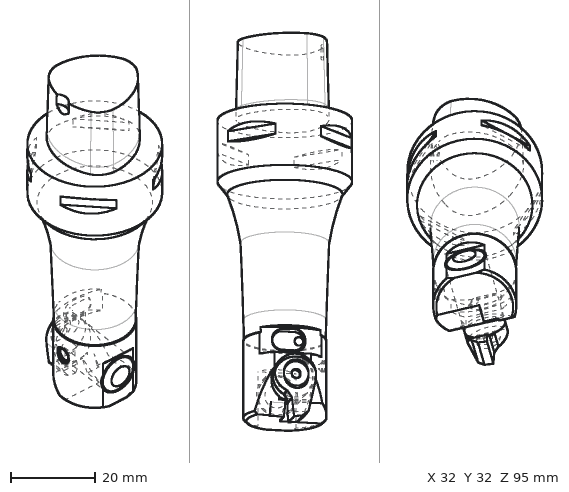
import cadquery as cq
import math

TOP_Z = 95.0
SHANK_STRAIGHT_Z = 78.5
FLANGE_TOP_Z = 76.1
FLANGE_BOTTOM_Z = 61.1
FLANGE_BEVEL_Z = 58.0
FLARE_MID_Z = 52.1
NECK_TOP_Z = 46.1
COLLAR_TOP_Z = 27.2
HEAD_TOP_Z = 22.3
HEAD_BOTTOM_Z = 2.5
SLIDE_Z = 10.9

FLANGE_R = 32.0 / 2
BEVEL_R = 13.7
FLARE_MID_R = 11.8
NECK_TOP_R = 10.5
COLLAR_TOP_R = 9.9
COLLAR_BOTTOM_R = 19.5 / 2
HEAD_R = 9.9
HEAD_TOP_CHAMFER = 0.2
HEAD_BOTTOM_CHAMFER = 0.8

SHANK_MEAN_R = 11.0
SHANK_LOBE = 0.7
SHANK_TAPER = 0.05
LOBE_HALF_ANGLE = 16.5
KEYWAY_DIAMETER = 6.0
KEYWAY_Y = -11.8
KEYWAY_DEPTH = 3.0

GROOVE_Z = 70.0
GROOVE_FLOOR = 14.5
GROOVE_FLOOR_HEIGHT = 2.5
GROOVE_MOUTH_HEIGHT = 4.5
GROOVE_LENGTH = 2 * FLANGE_R

WINDOW_BOTTOM_Z = 17.0
WINDOW_TOP_Z = 23.5
WINDOW_FLOOR_X = -7.9
WINDOW_FLOOR_R = 19.95

OVAL_Y = 0.8
OVAL_Z = 20.3
OVAL_LENGTH = 7.6
OVAL_WIDTH = 4.5
OVAL_MOUTH_WIDTH = 5.0
OVAL_FLOOR_X = -7.0
OVAL_MOUTH_X = -7.5
OVAL_SOCKET_Y = -1.9
OVAL_SOCKET_DIAMETER = 2.1

SOCKET_Z = 16.2
SOCKET_BORE_DIAMETER = 4.3
SOCKET_SEAT_Y = -9.3
SOCKET_CONE_DIAMETER = 3.0
SOCKET_TIP_DIAMETER = 1.0
SOCKET_TIP_DEPTH = 0.8

BLADE_FLAT_X = -8.8
DIAL_FLAT_X = 8.7
DIAL_FLAT_TOP_Z = 16.5
RELIEF_TOP_Z = 13.2
RELIEF_BOTTOM_X = -4.8
STEP_X = -6.2
STEP_Z = 5.8
STEP_FRONT_Y = -4.8
STEP_BACK_Y = 2.8
RAMP_BOTTOM_X = 0.3
RAMP_BACK_Y = 1.1
NOTCH_BOTTOM_X = -4.2
NOTCH_BACK_Y = 4.7

SLIDE_R = 10.0 / 2
SLIDE_END_X = 9.7
SLIDE_END_R = 2.8
SLIDE_SHOULDER_R = 4.7

HUB_R = SLIDE_R
BLADE_BACK_X = -9.6
BLADE_FRONT_R = 13.1
BLADE_EDGE_R = 14.3
BLADE_FLARE_Z = 10.1
HUB_CHAMFER = 0.95
LEG_JOIN_ANGLE = 62.0
LEG_TANGENT_ANGLE = 166.0
LEG_NECK_Y = 1.2
LEG_NECK_Z = 4.7
EDGE_BACK_Y = 0.9
EDGE_FRONT_Y = -1.3
EDGE_FRONT_Z = 0.4
FLANK_Y = -2.8
FLANK_Z = 1.6
HEEL_X = -7.9
HEEL_TOP_Z = 2.9
HEEL_START_Z = 5.5
HEEL_BOTTOM_Z = 1.3
HEEL_INSET = 0.4
HUB_RECESS_DIAMETER = 6.0
HUB_RECESS_X = -12.7
HUB_SOCKET_DIAMETER = 2.2
HUB_SOCKET_DEPTH = 0.95

REACH = 2 * FLANGE_R


def box_between(x_range, y_range, z_range):
    """Axis-parallel block between two corners."""
    size = [high - low for low, high in (x_range, y_range, z_range)]
    block = cq.Workplane("XY").box(*size, centered=False)
    return block.translate((x_range[0], y_range[0], z_range[0]))


def prism_along_y(points_xz, y_low, y_high):
    """Prism with an outline in X and Z, between two Y positions."""
    plane = cq.Workplane("XZ", origin=(0, y_high, 0))
    return plane.polyline(points_xz).close().extrude(y_high - y_low)


def spindle(points, base, direction):
    """Solid of revolution from (radius, distance along the axis) points."""
    axis = cq.Vector(*direction)
    side = cq.Vector(0, 0, 1) if abs(axis.z) < 0.5 else cq.Vector(1, 0, 0)
    plane = cq.Plane(origin=base, xDir=side, normal=side.cross(axis))
    return cq.Workplane(plane).polyline(points).close().revolve(360, (0, 0), (0, 1))




def turned_body():
    """Flange, flared neck, collar and head, all round about Z."""
    return (
        cq.Workplane("XZ")
        .moveTo(0, FLANGE_TOP_Z)
        .lineTo(FLANGE_R, FLANGE_TOP_Z)
        .lineTo(FLANGE_R, FLANGE_BOTTOM_Z)
        .lineTo(BEVEL_R, FLANGE_BEVEL_Z)
        .threePointArc((FLARE_MID_R, FLARE_MID_Z), (NECK_TOP_R, NECK_TOP_Z))
        .lineTo(COLLAR_TOP_R, COLLAR_TOP_Z)
        .lineTo(COLLAR_BOTTOM_R, HEAD_TOP_Z)
        .lineTo(HEAD_R, HEAD_TOP_Z - HEAD_TOP_CHAMFER)
        .lineTo(HEAD_R, HEAD_BOTTOM_Z + HEAD_BOTTOM_CHAMFER)
        .lineTo(HEAD_R - HEAD_BOTTOM_CHAMFER, HEAD_BOTTOM_Z)
        .lineTo(0, HEAD_BOTTOM_Z)
        .close()
        .revolve(360, (0, 0), (0, 1))
    )


def lobe_point(mean_r, degrees, z):
    """Point of a hypotrochoid with three lobes, one of them toward +Y."""
    turn = math.radians(degrees)
    along = mean_r * math.cos(turn) + SHANK_LOBE * math.cos(2 * turn)
    across = mean_r * math.sin(turn) - SHANK_LOBE * math.sin(2 * turn)
    return cq.Vector(-across, along, z)


def shank_outline(mean_r, z):
    """Closed wire of six arcs: a tight one on each lobe and a wide one between lobes."""
    arcs = []
    for lobe in (0, 120, 240):
        stops = (lobe - LOBE_HALF_ANGLE, lobe + LOBE_HALF_ANGLE, lobe + 120 - LOBE_HALF_ANGLE)
        for start, end in zip(stops, stops[1:]):
            angles = (start, (start + end) / 2, end)
            arcs.append(cq.Edge.makeThreePointArc(*[lobe_point(mean_r, a, z) for a in angles]))
    return cq.Wire.assembleEdges(arcs)


def taper_shank():
    """Straight foot on the flange with the tapered shank above it."""
    top_mean_r = SHANK_MEAN_R - (TOP_Z - SHANK_STRAIGHT_Z) * SHANK_TAPER / 2
    foot_wire = shank_outline(SHANK_MEAN_R, FLANGE_TOP_Z)
    middle_wire = shank_outline(SHANK_MEAN_R, SHANK_STRAIGHT_Z)
    top_wire = shank_outline(top_mean_r, TOP_Z)
    foot = cq.Solid.makeLoft([foot_wire, middle_wire], True)
    cone = cq.Solid.makeLoft([middle_wire, top_wire], True)
    return cq.Workplane(foot).union(cq.Workplane(cone))


def keyway():
    """Drilled keyway with a cone-shaped bottom at the top of the shank."""
    radius = KEYWAY_DIAMETER / 2
    points = [(0, 0), (radius, 0), (radius, KEYWAY_DEPTH), (0, KEYWAY_DEPTH + radius)]
    return spindle(points, (0, KEYWAY_Y, TOP_Z), (0, 0, -1))


def gripper_groove(degrees):
    """Flat-bottomed groove with sloping sides, facing the given direction."""
    half_floor = GROOVE_FLOOR_HEIGHT / 2
    half_mouth = GROOVE_MOUTH_HEIGHT / 2
    points = [
        (GROOVE_FLOOR, GROOVE_Z - half_floor),
        (FLANGE_R, GROOVE_Z - half_mouth),
        (FLANGE_R, GROOVE_Z + half_mouth),
        (GROOVE_FLOOR, GROOVE_Z + half_floor),
    ]
    groove = prism_along_y(points, -GROOVE_LENGTH / 2, GROOVE_LENGTH / 2)
    return groove.rotate((0, 0, 0), (0, 0, 1), degrees)


def side_window():
    """Recess across the -X side whose floor is part of a wide cylinder."""
    height = WINDOW_TOP_Z - WINDOW_BOTTOM_Z
    block = box_between((-REACH, 0), (-REACH, REACH), (WINDOW_BOTTOM_Z, WINDOW_TOP_Z))
    core = cq.Workplane("XY", origin=(WINDOW_FLOOR_X + WINDOW_FLOOR_R, 0, WINDOW_BOTTOM_Z))
    return block.cut(core.circle(WINDOW_FLOOR_R).extrude(height))


def oval_recess():
    """Oval recess with sloping walls and a cone-shaped socket in its floor."""
    depth = OVAL_FLOOR_X - OVAL_MOUTH_X
    slope = math.degrees(math.atan2((OVAL_MOUTH_WIDTH - OVAL_WIDTH) / 2, depth))
    plane = cq.Plane(origin=(OVAL_FLOOR_X, OVAL_Y, OVAL_Z), xDir=(0, 1, 0), normal=(-1, 0, 0))
    recess = cq.Workplane(plane).slot2D(OVAL_LENGTH, OVAL_WIDTH).extrude(2 * depth, taper=-slope)
    radius = OVAL_SOCKET_DIAMETER / 2
    socket = spindle([(0, 0), (radius, 0), (0, radius)], (OVAL_FLOOR_X, OVAL_SOCKET_Y, OVAL_Z), (1, 0, 0))
    return recess.union(socket)


def front_socket():
    """Round seat on the -Y side with a cone that narrows to a small hole."""
    bore_r = SOCKET_BORE_DIAMETER / 2
    cone_r = SOCKET_CONE_DIAMETER / 2
    tip_r = SOCKET_TIP_DIAMETER / 2
    cone_depth = cone_r - tip_r
    mouth = HEAD_R + SOCKET_SEAT_Y
    points = [
        (0, -mouth),
        (bore_r, -mouth),
        (bore_r, 0),
        (cone_r, 0),
        (tip_r, cone_depth),
        (tip_r, cone_depth + SOCKET_TIP_DEPTH),
        (0, cone_depth + SOCKET_TIP_DEPTH),
    ]
    return spindle(points, (0, SOCKET_SEAT_Y, SOCKET_Z), (0, 1, 0))


def blade_side_cuts():
    """Flat and sloping clearance on the -X side of the head, below the window."""
    flat = box_between((-REACH, BLADE_FLAT_X), (-REACH, REACH), (0, WINDOW_BOTTOM_Z))
    relief = prism_along_y(
        [
            (-REACH, RELIEF_TOP_Z),
            (BLADE_FLAT_X, RELIEF_TOP_Z),
            (RELIEF_BOTTOM_X, HEAD_BOTTOM_Z),
            (-REACH, HEAD_BOTTOM_Z),
        ],
        -REACH,
        REACH,
    )
    step = box_between((-REACH, STEP_X), (STEP_FRONT_Y, STEP_BACK_Y), (STEP_Z, SLIDE_Z))
    return flat.union(relief).union(step)


def bottom_ramp(bottom_x, y_low, y_high):
    """Sloping cut from the step down to the bottom face."""
    points = [(STEP_X, STEP_Z), (bottom_x, HEAD_BOTTOM_Z), (-REACH, HEAD_BOTTOM_Z), (-REACH, STEP_Z)]
    return prism_along_y(points, y_low, y_high)


def dial_side_cut():
    """Flat on the +X side with a 45 degree run-out at its top."""
    outer_x = DIAL_FLAT_X + 2 * (HEAD_R - DIAL_FLAT_X)
    runout_z = DIAL_FLAT_TOP_Z + outer_x - DIAL_FLAT_X
    points = [
        (DIAL_FLAT_X, 0),
        (DIAL_FLAT_X, DIAL_FLAT_TOP_Z),
        (outer_x, runout_z),
        (outer_x, 0),
    ]
    return prism_along_y(points, -REACH, REACH)


def slide_bore():
    """Bore along X that the slide fills."""
    plane = cq.Workplane("YZ", origin=(-REACH, 0, SLIDE_Z))
    return plane.circle(SLIDE_R).extrude(2 * REACH)


def make_holder():
    holder = turned_body().union(taper_shank()).cut(keyway())
    for degrees in (45, 135, 225, 315):
        holder = holder.cut(gripper_groove(degrees))
    cuts = [
        side_window(),
        oval_recess(),
        front_socket(),
        blade_side_cuts(),
        bottom_ramp(RAMP_BOTTOM_X, -REACH, RAMP_BACK_Y),
        bottom_ramp(NOTCH_BOTTOM_X, RAMP_BACK_Y, NOTCH_BACK_Y),
        dial_side_cut(),
        slide_bore(),
    ]
    for cut in cuts:
        holder = holder.cut(cut)
    return holder




def make_slide():
    """Round bar from the back of the blade to a cone-shaped end on the +X side."""
    shoulder = DIAL_FLAT_X - BLADE_BACK_X
    points = [
        (0, 0),
        (SLIDE_R, 0),
        (SLIDE_R, shoulder),
        (SLIDE_SHOULDER_R, shoulder),
        (SLIDE_END_R, SLIDE_END_X - BLADE_BACK_X),
        (0, SLIDE_END_X - BLADE_BACK_X),
    ]
    return spindle(points, (BLADE_BACK_X, 0, SLIDE_Z), (1, 0, 0))




def blade_hub():
    """Round hub with a chamfered front rim."""
    thickness = BLADE_FRONT_R + BLADE_BACK_X
    points = [
        (0, 0),
        (HUB_R, 0),
        (HUB_R, thickness - HUB_CHAMFER),
        (HUB_R - HUB_CHAMFER, thickness),
        (0, thickness),
    ]
    return spindle(points, (BLADE_BACK_X, 0, SLIDE_Z), (-1, 0, 0))


def hub_rim(degrees):
    """Point on the rim of the hub, measured downward from the +Y side."""
    turn = math.radians(degrees)
    return HUB_R * math.cos(turn), -HUB_R * math.sin(turn)


def blade_leg():
    """Leg below the hub: its outline across Y, trimmed by its profile along X."""
    leg = (
        cq.Workplane("YZ", origin=(-REACH, 0, SLIDE_Z))
        .moveTo(HUB_R, 0)
        .threePointArc(hub_rim(LEG_JOIN_ANGLE / 2), hub_rim(LEG_JOIN_ANGLE))
        .lineTo(LEG_NECK_Y, LEG_NECK_Z - SLIDE_Z)
        .lineTo(EDGE_BACK_Y, -SLIDE_Z)
        .lineTo(EDGE_FRONT_Y, EDGE_FRONT_Z - SLIDE_Z)
        .lineTo(FLANK_Y, FLANK_Z - SLIDE_Z)
        .lineTo(*hub_rim(LEG_TANGENT_ANGLE))
        .lineTo(-HUB_R, 0)
        .close()
        .extrude(REACH)
    )
    profile = [
        (-REACH, 0),
        (HEEL_X - HEEL_INSET, 0),
        (HEEL_X, HEEL_BOTTOM_Z),
        (HEEL_X, HEEL_TOP_Z),
        (BLADE_BACK_X, HEEL_START_Z),
        (BLADE_BACK_X, SLIDE_Z),
        (-REACH, SLIDE_Z),
    ]
    return leg.intersect(prism_along_y(profile, -REACH, REACH))


def blade_envelope():
    """Round envelope about Z that gives the blade its curved, flaring front."""
    points = [
        (0, 0),
        (BLADE_EDGE_R, 0),
        (BLADE_FRONT_R, BLADE_FLARE_Z),
        (BLADE_FRONT_R, HEAD_TOP_Z),
        (0, HEAD_TOP_Z),
    ]
    return spindle(points, (0, 0, 0), (0, 0, 1))


def hub_recess():
    """Countersunk seat in the front of the hub with a small round socket."""
    seat_r = HUB_RECESS_DIAMETER / 2
    socket_r = HUB_SOCKET_DIAMETER / 2
    mouth = HUB_RECESS_X + BLADE_EDGE_R
    points = [
        (0, -mouth),
        (seat_r + mouth, -mouth),
        (seat_r, 0),
        (socket_r, 0),
        (socket_r, HUB_SOCKET_DEPTH),
        (0, HUB_SOCKET_DEPTH),
    ]
    return spindle(points, (HUB_RECESS_X, 0, SLIDE_Z), (1, 0, 0))


def make_blade():
    body = blade_hub().union(blade_leg())
    return body.intersect(blade_envelope()).cut(hub_recess())


holder = make_holder()
slide = make_slide()
blade = make_blade()
result = cq.Compound.makeCompound([body.solids().val() for body in (holder, slide, blade)])